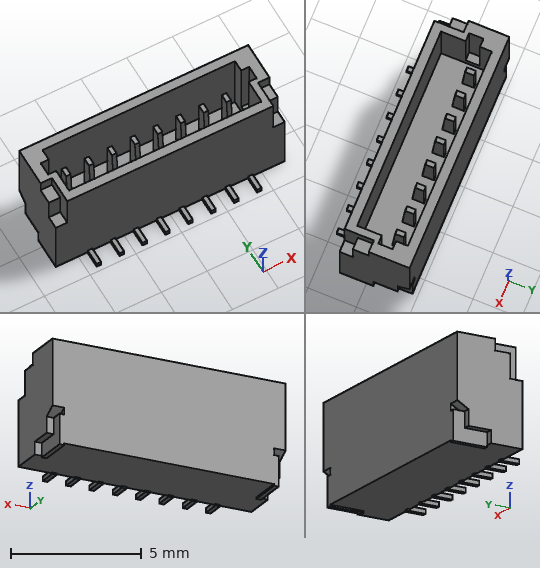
import cadquery as cq

LENGTH = 10.0
DEPTH = 2.9
TOTAL_HEIGHT = 4.32
STANDOFF = 0.07
FRONT = -DEPTH / 2
BACK = DEPTH / 2

WALL = 0.4
CAVITY_LENGTH = 8.4
FLOOR_HEIGHT = 1.45

KEY_DEPTH = 0.35
KEY_FRONT_FROM_BACK = 1.48
KEY_BACK_FROM_BACK = 0.89
KEY_DRAFT_OFFSET = 0.02
KEY_FLOOR_HEIGHT = 1.8

NOTCH_WIDTH = 0.5
FRONT_NOTCH_LONG = 1.21
FRONT_NOTCH_SHORT = 0.55
FRONT_NOTCH_STEP = 0.48
FRONT_NOTCH_DROP = 1.5

TAB_THICKNESS = 0.2
TAB_LONG = 1.5
TAB_SHORT = 0.5
TAB_STEP = 0.6
TAB_HEIGHT = 1.27
TAB_RELIEF_RISE = 0.28

CONTACT_COUNT = 8
PITCH = 1.0
CONTACT_WIDTH = 0.2
PIN_FROM_BACK = 0.81
PIN_DEPTH = 0.49
PIN_RECESS = 1.24
PIN_TOP = TOTAL_HEIGHT - PIN_RECESS
PIN_TAPER = 0.12
LEAD_HEIGHT = 0.19
LEAD_REACH = 0.7
LEAD_INSET = 0.1


def block(x_range, y_range, z_range):
    """Axis-aligned box between the given limits."""
    size = [high - low for low, high in (x_range, y_range, z_range)]
    corner = (x_range[0], y_range[0], z_range[0])
    return cq.Workplane("XY").box(*size, centered=False).translate(corner)


def plate(outline, x_start, thickness):
    """Prism of a (Y, Z) outline running from x_start toward +X."""
    return cq.Workplane("YZ").workplane(offset=x_start).polyline(outline).close().extrude(thickness)


def on_both_ends(left_solid):
    """The solid together with its mirror image at the +X end."""
    return left_solid.union(left_solid.mirror("YZ"))


def cavity():
    half = CAVITY_LENGTH / 2
    return block((-half, half), (FRONT + WALL, BACK - WALL), (FLOOR_HEIGHT, TOTAL_HEIGHT))


def key_slots():
    key_front = BACK - KEY_FRONT_FROM_BACK
    key_back = BACK - KEY_BACK_FROM_BACK
    outline = [
        (key_front, KEY_FLOOR_HEIGHT),
        (key_front, TOTAL_HEIGHT),
        (key_back, TOTAL_HEIGHT),
        (key_back - KEY_DRAFT_OFFSET, KEY_FLOOR_HEIGHT),
    ]
    half = CAVITY_LENGTH / 2 + KEY_DEPTH
    return plate(outline, -half, 2 * half)


def front_notches():
    step_z = TOTAL_HEIGHT - FRONT_NOTCH_STEP
    low_z = TOTAL_HEIGHT - FRONT_NOTCH_DROP
    outline = [
        (FRONT, TOTAL_HEIGHT),
        (FRONT + FRONT_NOTCH_LONG, TOTAL_HEIGHT),
        (FRONT + FRONT_NOTCH_LONG, step_z),
        (FRONT + FRONT_NOTCH_SHORT, step_z),
        (FRONT + FRONT_NOTCH_SHORT, low_z),
        (FRONT, low_z),
    ]
    return on_both_ends(plate(outline, -LENGTH / 2, NOTCH_WIDTH))


TAB_OUTLINE = [
    (BACK, 0),
    (BACK - TAB_LONG, 0),
    (BACK - TAB_LONG, TAB_STEP),
    (BACK - TAB_SHORT, TAB_STEP),
    (BACK - TAB_SHORT, TAB_HEIGHT),
    (BACK, TAB_HEIGHT),
]


def back_notches():
    outline = TAB_OUTLINE[:-1] + [(BACK, TAB_HEIGHT + TAB_RELIEF_RISE)]
    return on_both_ends(plate(outline, -LENGTH / 2, NOTCH_WIDTH))


def solder_tabs():
    tab_start = -LENGTH / 2 + NOTCH_WIDTH - TAB_THICKNESS
    return on_both_ends(plate(TAB_OUTLINE, tab_start, TAB_THICKNESS))


def contact(x_center):
    x_start = x_center - CONTACT_WIDTH / 2
    pin_back = BACK - PIN_FROM_BACK
    pin_front = pin_back - PIN_DEPTH
    pin_outline = [
        (pin_back, FLOOR_HEIGHT),
        (pin_back, PIN_TOP),
        (pin_front + PIN_TAPER, PIN_TOP),
        (pin_front, FLOOR_HEIGHT),
    ]
    pin = plate(pin_outline, x_start, CONTACT_WIDTH)
    lead = block(
        (x_start, x_start + CONTACT_WIDTH),
        (FRONT - LEAD_REACH, FRONT + LEAD_INSET),
        (0, LEAD_HEIGHT),
    )
    return pin.union(lead)


housing = block((-LENGTH / 2, LENGTH / 2), (FRONT, BACK), (STANDOFF, TOTAL_HEIGHT))
housing = housing.cut(cavity()).cut(key_slots()).cut(front_notches()).cut(back_notches())
result = housing.union(solder_tabs())

for index in range(CONTACT_COUNT):
    result = result.union(contact((index - (CONTACT_COUNT - 1) / 2) * PITCH))